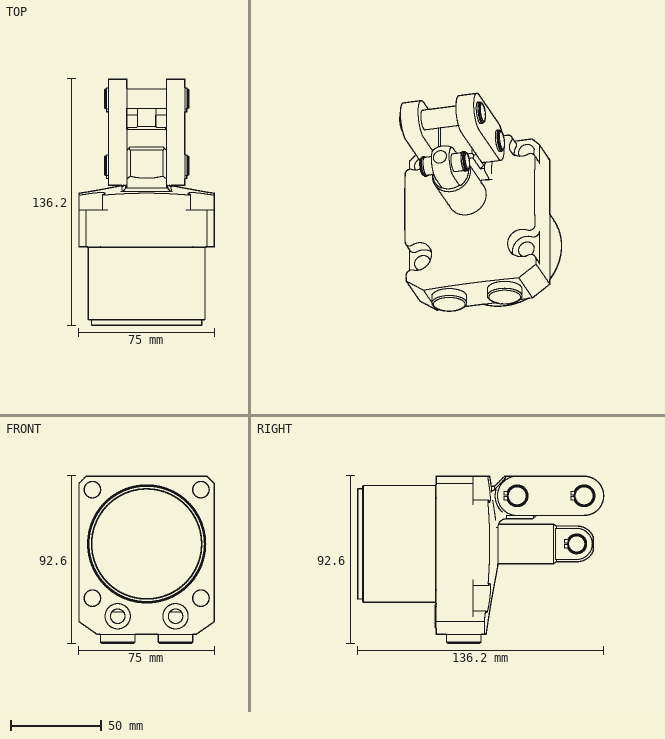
import cadquery as cq
import math


half_width = 37.5
flange_bottom = -50.0
top_chamfer = 4.1
bottom_chamfer_x = 10.0
bottom_chamfer_z = 7.0

dome_flat_radius = 12.0
dome_flat_y = 34.2
dome_break_radius = 32.0
dome_break_y = 30.5
dome_outer_radius = 60.0
dome_outer_slope = 0.155

bolt_offset = 30.0
bolt_hole_diameter = 9.0
pocket_floor_y = 20.4
upper_pocket_radius = 7.0
upper_pocket_fillet = 2.6
lower_pocket_radius = 8.0
lower_pocket_fillet = 3.0

barrel_radius = 32.4
barrel_length = 40.6
barrel_chamfer = 0.5
collar_radius = 32.7
collar_height = 0.4
cap_radius = 30.6
cap_end = 43.5
cap_chamfer = 0.3

port_x = 16.0
port_z = -40.0
port_bore_diameter = 8.0
port_y = 15.3
ring_section_radius = 1.5
ring_outer_radius = 7.0
ring_proud = 0.7
ring_middle_radius = ring_outer_radius - ring_section_radius
ring_seat_depth = 2 * ring_section_radius - ring_proud
plug_diameter = 19.2
plug_height = 5.05
plug_chamfer = 0.8
stem_diameter = 11.8
stem_top = port_z + 2.4

link_radius = 10.9
link_z = half_width - link_radius
lug_pin_y = 44.83
link_pitch = 37.0
lever_pin_y = lug_pin_y + link_pitch
link_inner = 10.9
link_outer = 21.2
link_pin_radius = 5.5
link_pin_half_length = 23.3

lug_bottom = 13.8
lug_front = 55.3
lug_chamfer = 1.9
lug_cone_y = 32.4
lug_fillet = 4.7
link_clearance_radius = 12.2

rod_radius = 11.0
rod_end = 64.8
eye_radius = 10.0
eye_neck_y = 66.5
eye_center_y = 77.75
eye_tip = 87.0
eye_half_thickness = 5.1
eye_shoulder_y = 66.0
eye_root_fillet = 0.8
rod_pin_radius = 5.0
rod_pin_half_length = 13.1

clip_thickness = 1.0
clip_inset = 2.1
clip_overhang = 0.5
clip_lug_overhang = 1.7
clip_lug_half_width = 2.3
clip_gap = 0.8
pin_chamfer = 0.5


def revolved(points):
    """Turn a closed (radius, y) outline about the Y axis."""
    return cq.Workplane("XY").polyline(points).close().revolve(360, (0, 0, 0), (0, 1, 0))


def x_cylinder(radius, half_length, y, z):
    """A cylinder along X, centred on X = 0."""
    return cq.Workplane("YZ").center(y, z).circle(radius).extrude(half_length, both=True)


def y_sketch(start_y):
    """A workplane with local axes X and Z that extrudes toward +Y."""
    return cq.Workplane(cq.Plane((0, start_y, 0), (1, 0, 0), (0, -1, 0)))


def y_prism(sketch, length):
    """Extrude an (X, Z) sketch toward +Y."""
    return sketch.extrude(-length)


def pin_with_clips(radius, half_length, y, z):
    """A cross pin with an open retaining clip near each end."""
    pin = x_cylinder(radius, half_length, y, z).faces("<X or >X").chamfer(pin_chamfer)
    lug_reach = radius + clip_lug_overhang
    clip_start = half_length - clip_inset
    clip = cq.Workplane("YZ", (clip_start, y, z)).circle(radius + clip_overhang).extrude(clip_thickness)
    ears = (
        cq.Workplane("YZ", (clip_start, y - lug_reach / 2, z))
        .rect(lug_reach, 2 * clip_lug_half_width)
        .extrude(clip_thickness)
    )
    slot = (
        cq.Workplane("YZ", (clip_start, y - lug_reach, z))
        .rect(lug_reach, clip_gap)
        .extrude(clip_thickness)
    )
    clip = clip.union(ears).cut(slot)
    return pin.union(clip).union(clip.mirror("YZ"))


def arc_middle(center, start, end):
    """Point halfway along the shorter arc from start to end round center."""
    radius = math.dist(center, start)
    dx = start[0] + end[0] - 2 * center[0]
    dz = start[1] + end[1] - 2 * center[1]
    scale = radius / math.hypot(dx, dz)
    return center[0] + dx * scale, center[1] + dz * scale


def pocket_edge(radius, fillet):
    """Points where a bolt pocket's edge fillet meets the side face and the pocket arc, at the
    +X, +Z corner on the side nearer Z = 0, with the fillet's middle point between them."""
    center_x = half_width - fillet
    center_z = bolt_offset - math.sqrt((radius + fillet) ** 2 - (center_x - bolt_offset) ** 2)
    share = radius / (radius + fillet)
    joint = (
        bolt_offset + (center_x - bolt_offset) * share,
        bolt_offset + (center_z - bolt_offset) * share,
    )
    tangent = (half_width, center_z)
    return tangent, arc_middle((center_x, center_z), tangent, joint), joint


def upper_pocket():
    """Cutter for the +X upper corner, open to the side and the top."""
    tangent, middle, joint = pocket_edge(upper_pocket_radius, upper_pocket_fillet)
    deepest = bolt_offset - upper_pocket_radius * math.sqrt(0.5)
    sketch = (
        y_sketch(pocket_floor_y)
        .moveTo(*tangent)
        .threePointArc(middle, joint)
        .threePointArc((deepest, deepest), joint[::-1])
        .threePointArc(middle[::-1], tangent[::-1])
        .lineTo(half_width, half_width)
        .close()
    )
    return y_prism(sketch, dome_flat_y)


def lower_pocket():
    """Cutter for the +X lower corner, open to the side only."""
    tangent, middle, joint = pocket_edge(lower_pocket_radius, lower_pocket_fillet)

    def upper(point):
        return point[0], -point[1]

    def lower(point):
        return point[0], point[1] - 2 * bolt_offset

    sketch = (
        y_sketch(pocket_floor_y)
        .moveTo(*upper(tangent))
        .threePointArc(upper(middle), upper(joint))
        .threePointArc((bolt_offset - lower_pocket_radius, -bolt_offset), lower(joint))
        .threePointArc(lower(middle), lower(tangent))
        .close()
    )
    return y_prism(sketch, dome_flat_y)


def make_flange():
    right_outline = [
        (half_width - top_chamfer, half_width),
        (half_width, half_width - top_chamfer),
        (half_width, flange_bottom + bottom_chamfer_z),
        (half_width - bottom_chamfer_x, flange_bottom),
    ]
    outline = right_outline + [(-x, z) for x, z in reversed(right_outline)]
    block = y_prism(y_sketch(0).polyline(outline).close(), dome_flat_y)
    outer_y = dome_break_y - dome_outer_slope * (dome_outer_radius - dome_break_radius)
    dome = revolved(
        [
            (0, 0),
            (dome_outer_radius, 0),
            (dome_outer_radius, outer_y),
            (dome_break_radius, dome_break_y),
            (dome_flat_radius, dome_flat_y),
            (0, dome_flat_y),
        ]
    )
    return block.intersect(dome)


def make_lug():
    """Chamfered block, turned to a 45 degree cone on the side away from the rod."""
    block = (
        cq.Workplane("XY")
        .box(2 * link_inner, lug_front, half_width - lug_bottom, centered=(True, False, False))
        .translate((0, 0, lug_bottom))
        .faces(">Y")
        .chamfer(lug_chamfer)
        .edges("|Y")
        .chamfer(lug_chamfer)
    )
    reach = lug_front - lug_cone_y
    turned = revolved(
        [
            (0, 0),
            (dome_break_radius, 0),
            (dome_break_radius, lug_cone_y),
            (dome_break_radius + reach, lug_front),
            (0, lug_front),
        ]
    )
    return block.intersect(turned)


def inner_dome_y(x, z):
    """Height of the inner dome cone above a point of the mounting face."""
    slope = (dome_flat_y - dome_break_y) / (dome_break_radius - dome_flat_radius)
    return dome_flat_y - slope * (math.hypot(x, z) - dome_flat_radius)


def make_lug_foot():
    """Flared foot that blends the lug's sides and rod-side face into the dome."""
    toe_x = link_inner + lug_fillet
    toe_z = lug_bottom - lug_fillet
    foot_top_z = dome_break_radius
    foot = (
        cq.Workplane("XY")
        .box(2 * toe_x, dome_flat_y + lug_fillet, foot_top_z - toe_z, centered=(True, False, False))
        .translate((0, 0, toe_z))
    )
    foot = foot.cut(x_cylinder(lug_fillet, toe_x, dome_flat_y + lug_fillet, toe_z))
    start = cq.Vector(toe_x, inner_dome_y(toe_x, toe_z) + lug_fillet, toe_z)
    end = cq.Vector(toe_x, inner_dome_y(toe_x, foot_top_z) + lug_fillet, foot_top_z)
    along = end - start
    hollow = cq.Workplane(
        obj=cq.Solid.makeCylinder(lug_fillet, 2 * along.Length, start - along * 0.5, along)
    )
    above = (
        cq.Workplane("YZ", (link_inner, 0, 0))
        .polyline(
            [
                (start.y, start.z),
                (end.y, end.z),
                (start.y + lug_fillet, end.z),
                (start.y + lug_fillet, start.z),
            ]
        )
        .close()
        .extrude(lug_fillet)
    )
    for cutter in (hollow, above):
        foot = foot.cut(cutter).cut(cutter.mirror("YZ"))
    rim = y_prism(y_sketch(0).circle(dome_break_radius), dome_flat_y + lug_fillet)
    return foot.intersect(rim)


def make_barrel():
    """Collar, barrel and end cap, turned in one profile."""
    return revolved(
        [
            (0, 0),
            (collar_radius, 0),
            (collar_radius, -collar_height),
            (barrel_radius, -collar_height),
            (barrel_radius, barrel_chamfer - barrel_length),
            (barrel_radius - barrel_chamfer, -barrel_length),
            (cap_radius, -barrel_length),
            (cap_radius, cap_chamfer - cap_end),
            (cap_radius - cap_chamfer, -cap_end),
            (0, -cap_end),
        ]
    )


def make_rod():
    """Rod whose ball end is truncated and flattened into an eye, with its cross pin."""
    cap_half = math.sqrt(eye_radius**2 - (eye_tip - eye_center_y) ** 2)
    bulge = eye_radius * math.sqrt(0.5)
    turned = (
        cq.Workplane("XY")
        .polyline([(0, 0), (rod_radius, 0), (rod_radius, rod_end), (eye_radius, eye_neck_y)])
        .lineTo(eye_radius, eye_center_y)
        .threePointArc((bulge, eye_center_y + bulge), (cap_half, eye_tip))
        .lineTo(0, eye_tip)
        .close()
        .revolve(360, (0, 0, 0), (0, 1, 0))
    )
    for side, root_edge in ((-1, ">X and <Y"), (1, "<X and <Y")):
        flat = (
            cq.Workplane("XY")
            .box(eye_radius, eye_tip, 2 * rod_radius, centered=(True, False, True))
            .translate((side * (eye_half_thickness + eye_radius / 2), eye_shoulder_y, 0))
            .edges(root_edge)
            .fillet(eye_root_fillet)
        )
        turned = turned.cut(flat)
    return turned.union(pin_with_clips(rod_pin_radius, rod_pin_half_length, eye_center_y, 0))


def make_housing():
    body = make_flange().union(make_lug()).union(make_lug_foot())
    body = body.union(make_barrel())
    for side in (-1, 1):
        clearance = (
            cq.Workplane("YZ", (side * link_inner, lug_pin_y, link_z))
            .circle(link_clearance_radius)
            .extrude(side * (link_outer - link_inner))
        )
        body = body.cut(clearance)
    for pocket in (upper_pocket(), lower_pocket()):
        body = body.cut(pocket).cut(pocket.mirror("YZ"))

    bolt_points = [(x, z) for x in (-bolt_offset, bolt_offset) for z in (-bolt_offset, bolt_offset)]
    bolt_holes = y_sketch(0).pushPoints(bolt_points).circle(bolt_hole_diameter / 2)
    body = body.cut(y_prism(bolt_holes, dome_flat_y))
    body = body.cut(x_cylinder(link_pin_radius, link_inner, lug_pin_y, link_z))
    body = body.union(make_rod())

    for x in (-port_x, port_x):
        plug = (
            cq.Workplane("XY", (x, port_y, flange_bottom))
            .circle(plug_diameter / 2)
            .extrude(-plug_height)
            .faces("<Z")
            .chamfer(plug_chamfer)
        )
        seat = y_prism(y_sketch(0).center(x, port_z).circle(ring_outer_radius), ring_seat_depth)
        port = y_prism(y_sketch(0).center(x, port_z).circle(port_bore_diameter / 2), port_y)
        stem = (
            cq.Workplane("XY", (x, port_y, flange_bottom))
            .circle(stem_diameter / 2)
            .extrude(stem_top - flange_bottom)
        )
        body = body.union(plug).cut(seat).cut(port.cut(stem))
    return body


def make_linkage():
    """Two link plates joined by the lug pin and the lever pin."""
    linkage = pin_with_clips(link_pin_radius, link_pin_half_length, lug_pin_y, link_z)
    linkage = linkage.union(pin_with_clips(link_pin_radius, link_pin_half_length, lever_pin_y, link_z))
    for side in (-1, 1):
        plate = (
            cq.Workplane("YZ", (side * link_inner, (lug_pin_y + lever_pin_y) / 2, link_z))
            .slot2D(link_pitch + 2 * link_radius, 2 * link_radius)
            .extrude(side * (link_outer - link_inner))
        )
        linkage = linkage.union(plate)
    return linkage


def make_port_ring(x):
    """O-ring resting on the floor of its port seat."""
    torus = cq.Solid.makeTorus(
        ring_middle_radius,
        ring_section_radius,
        cq.Vector(x, ring_seat_depth - ring_section_radius, port_z),
        cq.Vector(0, 1, 0),
    )
    return cq.Workplane(obj=torus)


housing = make_housing()
linkage = make_linkage()
port_rings = [make_port_ring(x) for x in (-port_x, port_x)]

result = cq.Compound.makeCompound(
    [housing.val(), linkage.val(), *[ring.val() for ring in port_rings]]
)